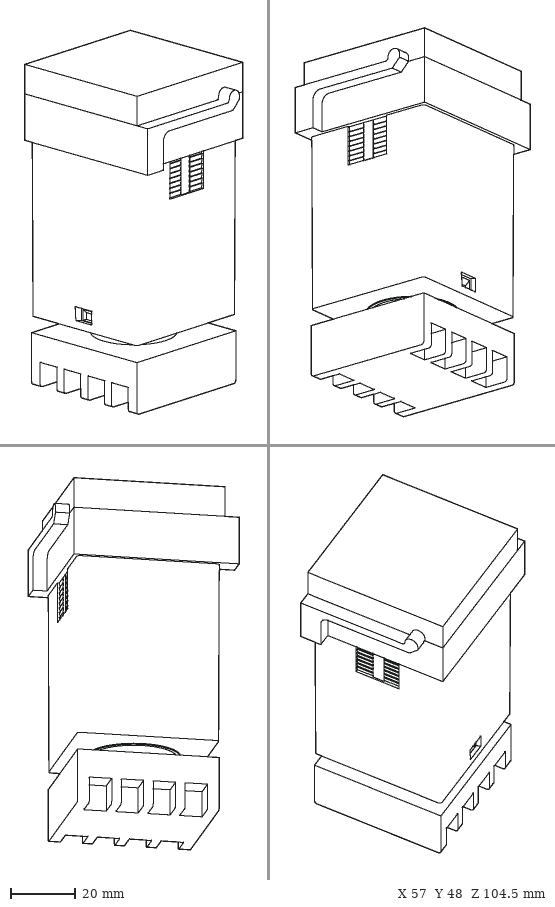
import cadquery as cq
import math

SOCKET_TOP = 17.0
CASE_BOTTOM = 22.5
BAND_BOTTOM = 79.7
BAND_TOP = 94.9
OVERALL_HEIGHT = 104.5

HEAD_WIDTH = 48.0
HEAD_HALF = HEAD_WIDTH / 2

CLIP_THICKNESS = 4.5
CLIP_LEG_WIDTH = 7.1
CLIP_INNER_RADIUS = 2.9
ARM_UNDERSIDE = 92.0
HOOK_TOP = 98.3
HOOK_RADIUS = 2.3
HOOK_TIP_OFFSET = 6.4
HOOK_ROOT_RADIUS = 1.0

CASE_WIDTH_TOP = 45.2
CASE_WIDTH_BOTTOM = 44.9
CASE_HEIGHT = BAND_BOTTOM - CASE_BOTTOM
CORNER_RADIUS = 1.0

GRIP_WIDTH = 15.3
GRIP_BOTTOM = 66.9
GRIP_BAR_WIDTH = 3.9
GRIP_FLOOR_X = 22.0
GRIP_TEETH = 8
TOOTH_PITCH = (BAND_BOTTOM - GRIP_BOTTOM) / GRIP_TEETH
TOOTH_DEPTH = 0.4

WINDOW_BOTTOM = 25.1
WINDOW_TOP = 29.6
WINDOW_LEFT_TOP = -3.9
WINDOW_LEFT_BOTTOM = -3.6
WINDOW_RIGHT = 3.1
WINDOW_FLOOR_HALF = 2.5
WINDOW_DEPTH = 1.4
CATCH_WIDTH = 3.7
CATCH_BOTTOM = 25.2
CATCH_TOP = 28.8
CATCH_BACK_TOP = 27.4
CATCH_DEPTH = 1.6

NECK_RADIUS = 13.5
FLANGE_RADIUS = 14.6
FLANGE_HEIGHT = 0.3

SOCKET_WIDTH = 44.9
SOCKET_EDGE_RADIUS = 1.0
SLOT_COUNT = 4
SLOT_PITCH = 10.1
SLOT_WIDTH = 7.1
SLOT_HEIGHT = 8.2
SLOT_DEPTH = 8.4


def square_block(width, bottom, top):
    """Square block centred on the Z axis between two heights."""
    return cq.Workplane("XY").workplane(offset=bottom).rect(width, width).extrude(top - bottom)


def make_lens():
    return square_block(HEAD_WIDTH, BAND_TOP, OVERALL_HEIGHT)


def make_clip():
    """Clip plate on the -X side: a leg, a long arm and a rounded hook at the arm's end."""
    leg_y = HEAD_HALF - CLIP_LEG_WIDTH
    tip_y = -HEAD_HALF + HOOK_TIP_OFFSET
    hook_y = tip_y + HOOK_RADIUS
    hook_z = HOOK_TOP - HOOK_RADIUS

    root_z = BAND_TOP + HOOK_ROOT_RADIUS
    centre_distance = HOOK_RADIUS + HOOK_ROOT_RADIUS
    root_y = hook_y + math.sqrt(centre_distance**2 - (root_z - hook_z) ** 2)
    join_ratio = HOOK_RADIUS / centre_distance
    join_y = hook_y + (root_y - hook_y) * join_ratio
    join_z = hook_z + (root_z - hook_z) * join_ratio
    join_angle = math.atan2(join_z - root_z, join_y - root_y) % (2 * math.pi)
    middle_angle = (join_angle + 1.5 * math.pi) / 2
    root_middle_y = root_y + HOOK_ROOT_RADIUS * math.cos(middle_angle)
    root_middle_z = root_z + HOOK_ROOT_RADIUS * math.sin(middle_angle)

    slope_y = tip_y + BAND_TOP - ARM_UNDERSIDE
    return (
        cq.Workplane("YZ", origin=(-HEAD_HALF - CLIP_THICKNESS, 0, 0))
        .moveTo(HEAD_HALF, BAND_BOTTOM)
        .lineTo(leg_y, BAND_BOTTOM)
        .lineTo(leg_y, ARM_UNDERSIDE - CLIP_INNER_RADIUS)
        .radiusArc((leg_y - CLIP_INNER_RADIUS, ARM_UNDERSIDE), -CLIP_INNER_RADIUS)
        .lineTo(slope_y, ARM_UNDERSIDE)
        .lineTo(tip_y, BAND_TOP)
        .lineTo(tip_y, hook_z)
        .threePointArc((hook_y, HOOK_TOP), (join_y, join_z))
        .threePointArc((root_middle_y, root_middle_z), (root_y, BAND_TOP))
        .lineTo(HEAD_HALF, BAND_TOP)
        .close()
        .extrude(CLIP_THICKNESS)
    )


def make_band():
    """Square band with two clips, the second turned half a turn about Z."""
    band = square_block(HEAD_WIDTH, BAND_BOTTOM, BAND_TOP)
    for turn in (0, 180):
        band = band.union(make_clip().rotate((0, 0, 0), (0, 0, 1), turn))
    return band


def make_grip_cutter():
    """Cutter for the -X side: a shallow recess with two columns of sawtooth grooves."""
    outside_x = -CASE_WIDTH_TOP
    grip_height = BAND_BOTTOM - GRIP_BOTTOM
    recess = (
        cq.Workplane("XY")
        .box(CASE_WIDTH_TOP - GRIP_FLOOR_X, GRIP_WIDTH, grip_height, centered=(False, True, False))
        .translate((outside_x, 0, GRIP_BOTTOM))
    )

    grooves = cq.Workplane("XZ", origin=(0, GRIP_WIDTH / 2, 0)).moveTo(outside_x, GRIP_BOTTOM)
    for tooth in range(GRIP_TEETH):
        tooth_bottom = GRIP_BOTTOM + tooth * TOOTH_PITCH
        grooves = grooves.lineTo(-GRIP_FLOOR_X + TOOTH_DEPTH, tooth_bottom)
        grooves = grooves.lineTo(-GRIP_FLOOR_X, tooth_bottom + TOOTH_PITCH)
    grooves = grooves.lineTo(outside_x, BAND_BOTTOM).close().extrude(GRIP_WIDTH)

    bar = (
        cq.Workplane("XY")
        .box(TOOTH_DEPTH, GRIP_BAR_WIDTH, grip_height, centered=(False, True, False))
        .translate((-GRIP_FLOOR_X, 0, GRIP_BOTTOM))
    )
    return recess.union(grooves.cut(bar))


def make_window_cutter():
    """Cutter for the -Y side: a funnel-sided window, wider at its top, with a deeper catch."""
    face_y = -CASE_WIDTH_BOTTOM / 2
    front_y = -CASE_WIDTH_TOP / 2
    floor_y = face_y + WINDOW_DEPTH
    back_y = floor_y + CATCH_DEPTH

    def window_outline(left):
        return [
            (left, front_y),
            (WINDOW_RIGHT, front_y),
            (WINDOW_RIGHT, face_y),
            (WINDOW_FLOOR_HALF, floor_y),
            (-WINDOW_FLOOR_HALF, floor_y),
            (left, face_y),
        ]

    window = (
        cq.Workplane("XY")
        .workplane(offset=WINDOW_BOTTOM)
        .polyline(window_outline(WINDOW_LEFT_BOTTOM))
        .close()
        .workplane(offset=WINDOW_TOP - WINDOW_BOTTOM)
        .polyline(window_outline(WINDOW_LEFT_TOP))
        .close()
        .loft(ruled=True)
    )
    catch = (
        cq.Workplane("YZ", origin=(-CATCH_WIDTH / 2, 0, 0))
        .polyline([
            (face_y, CATCH_BOTTOM),
            (back_y, CATCH_BOTTOM),
            (back_y, CATCH_BACK_TOP),
            (floor_y, CATCH_TOP),
            (face_y, CATCH_TOP),
        ])
        .close()
        .extrude(CATCH_WIDTH)
    )
    return window.union(catch)


def make_case():
    """Tapered square case with rounded corners, two grips and a window."""
    case = (
        cq.Workplane("XY")
        .workplane(offset=CASE_BOTTOM)
        .rect(CASE_WIDTH_BOTTOM, CASE_WIDTH_BOTTOM)
        .workplane(offset=CASE_HEIGHT)
        .rect(CASE_WIDTH_TOP, CASE_WIDTH_TOP)
        .loft(ruled=True)
        .edges("not(#Z)")
        .fillet(CORNER_RADIUS)
    )
    for turn in (0, 180):
        case = case.cut(make_grip_cutter().rotate((0, 0, 0), (0, 0, 1), turn))
    return case.cut(make_window_cutter())


def make_neck():
    neck_height = CASE_BOTTOM - SOCKET_TOP
    neck = cq.Workplane("XY").workplane(offset=SOCKET_TOP).circle(NECK_RADIUS).extrude(neck_height)
    flange = cq.Workplane("XY").workplane(offset=CASE_BOTTOM).circle(FLANGE_RADIUS).extrude(-FLANGE_HEIGHT)
    return neck.union(flange)


def make_socket():
    """Block with rounded lower edges and a row of terminal slots in each Y side."""
    socket = square_block(SOCKET_WIDTH, 0, SOCKET_TOP).edges("|X and <Z").fillet(SOCKET_EDGE_RADIUS)
    slot_y = (SOCKET_WIDTH - SLOT_DEPTH) / 2
    for index in range(SLOT_COUNT):
        slot_x = (index - (SLOT_COUNT - 1) / 2) * SLOT_PITCH
        for side in (-1, 1):
            slot = cq.Workplane("XY").box(SLOT_WIDTH, SLOT_DEPTH, SLOT_HEIGHT, centered=(True, True, False))
            socket = socket.cut(slot.translate((slot_x, side * slot_y, 0)))
    return socket


lens = make_lens()
band = make_band()
case = make_case()
neck = make_neck()
socket = make_socket()

result = cq.Compound.makeCompound([lens.val(), band.val(), case.val(), neck.val(), socket.val()])